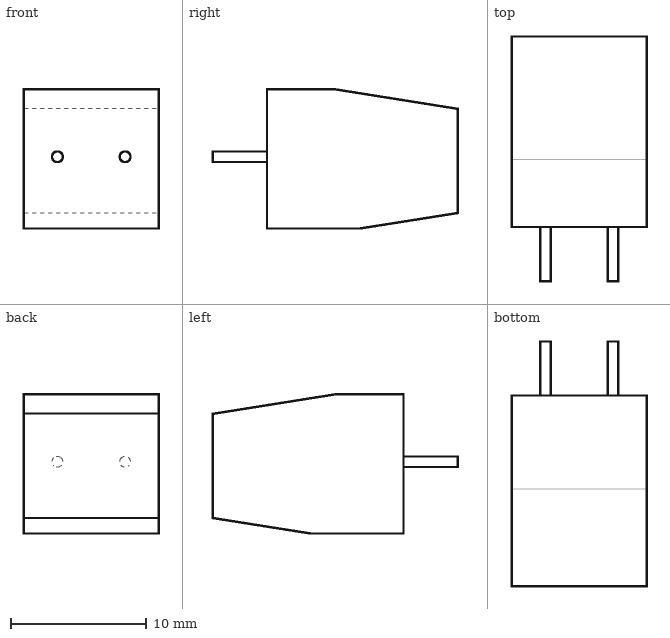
import cadquery as cq

overall_length = 18.1

housing_width = 10.0
housing_height = 10.3
housing_length = 14.1
top_flat_length = 5.01
bottom_flat_length = 6.9
top_drop = 1.45
bottom_rise = 1.14

pin_diameter = 0.8
pin_length = overall_length - housing_length
pin_spacing = housing_width / 2
pin_height = 5.3


def make_housing():
    """Side profile in the YZ plane, extruded across the width."""
    profile = [
        (0, 0),
        (bottom_flat_length, 0),
        (housing_length, bottom_rise),
        (housing_length, housing_height - top_drop),
        (top_flat_length, housing_height),
        (0, housing_height),
    ]
    return cq.Workplane("YZ").polyline(profile).close().extrude(housing_width / 2, both=True)


def make_pin(x):
    """Pin running forward from the front face at the given X."""
    return cq.Workplane("XZ").center(x, pin_height).circle(pin_diameter / 2).extrude(pin_length)


housing = make_housing()
pins = [make_pin(side * pin_spacing / 2) for side in (-1, 1)]

result = cq.Compound.makeCompound([housing.val(), *[pin.val() for pin in pins]])